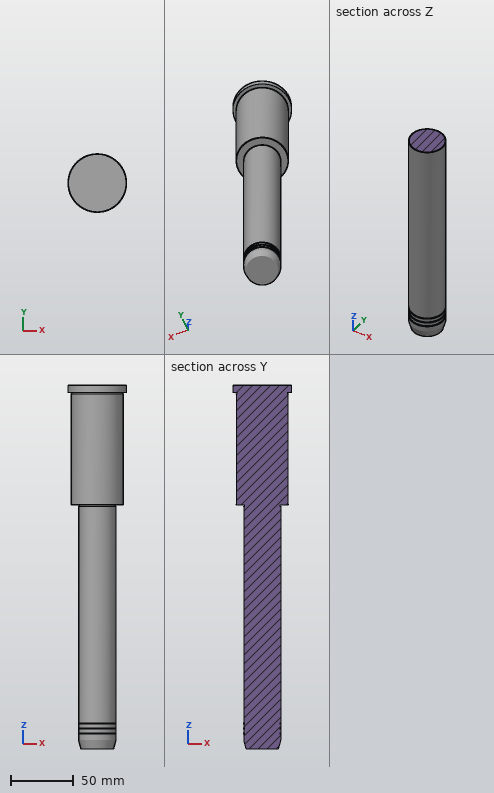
import cadquery as cq
import math

total_length = 291.0
flange_diameter = 47.0
flange_thickness = 6.0
collar_diameter = 42.0
collar_length = 90.0
shaft_diameter = 30.0

flange_chamfer = 0.5
collar_chamfer = 0.5

relief_width = 1.0
relief_depth = 0.5

ring_groove_radius = 0.5
ring_groove_count = 3
ring_groove_pitch = 4.0
lowest_ring_groove_z = 12.5

tip_length = 7.0
tip_taper_angle = 15.0
tip_fillet = 0.5

flange_radius = flange_diameter / 2
collar_radius = collar_diameter / 2
shaft_radius = shaft_diameter / 2
tip_radius = shaft_radius - tip_length * math.tan(math.radians(tip_taper_angle))
flange_bottom_z = total_length - flange_thickness
collar_bottom_z = flange_bottom_z - collar_length


def make_stepped_pin():
    """Revolve the half section, lying on the -X side, about the Z axis."""
    section = (
        cq.Workplane("XZ")
        .moveTo(0, 0)
        .lineTo(-tip_radius, 0)
        .lineTo(-shaft_radius, tip_length)
        .lineTo(-shaft_radius, collar_bottom_z - relief_width)
        .lineTo(-shaft_radius + relief_depth, collar_bottom_z - relief_width)
        .lineTo(-shaft_radius + relief_depth, collar_bottom_z)
        .lineTo(-collar_radius + collar_chamfer, collar_bottom_z)
        .lineTo(-collar_radius, collar_bottom_z + collar_chamfer)
        .lineTo(-collar_radius, flange_bottom_z - relief_width)
        .lineTo(-collar_radius + relief_depth, flange_bottom_z - relief_width)
        .lineTo(-collar_radius + relief_depth, flange_bottom_z)
        .lineTo(-flange_radius, flange_bottom_z)
        .lineTo(-flange_radius, total_length - flange_chamfer)
        .lineTo(-flange_radius + flange_chamfer, total_length)
        .lineTo(0, total_length)
        .close()
    )
    pin = section.revolve(360, (0, 0, 0), (0, 1, 0))
    return pin.faces("<Z").edges().fillet(tip_fillet)


def make_ring_groove(center_z):
    """Torus that cuts a half-round groove into the shaft at the given height."""
    profile = cq.Workplane("XZ").center(-shaft_radius, center_z).circle(ring_groove_radius)
    return profile.revolve(360, (shaft_radius, 0, 0), (shaft_radius, 1, 0))


result = make_stepped_pin()
for index in range(ring_groove_count):
    result = result.cut(make_ring_groove(lowest_ring_groove_z + index * ring_groove_pitch))